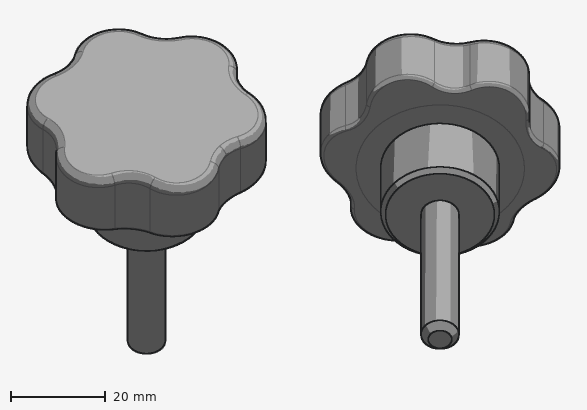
import cadquery as cq
import math

total_height = 72.95
stud_diameter = 8.0
stud_chamfer = 1.5

hub_diameter = 25.0
hub_bottom = 40.0
hub_chamfer = 1.0

lobe_count = 6
lobe_radius = 9.3
valley_radius = 8.0
grip_radius = 25.35
grip_bottom = 54.95
grip_flat_diameter = 35.5
underside_angle = 15.0
dome_radius = 199.9
top_fillet = 2.0
bottom_fillet = 0.95

envelope_radius = grip_radius + 3.65

half_pitch = 180.0 / lobe_count
lobe_centre_radius = grip_radius - lobe_radius
half_spacing = lobe_centre_radius * math.sin(math.radians(half_pitch))
valley_centre_radius = (
    lobe_centre_radius * math.cos(math.radians(half_pitch))
    + math.sqrt((lobe_radius + valley_radius) ** 2 - half_spacing**2)
)
valley_floor_radius = valley_centre_radius - valley_radius


def polar(radius, angle):
    a = math.radians(angle)
    return radius * math.cos(a), radius * math.sin(a)


def tangent_point(lobe_angle, valley_angle):
    """Point where a lobe arc meets a neighbouring valley arc."""
    lobe_x, lobe_y = polar(lobe_centre_radius, lobe_angle)
    valley_x, valley_y = polar(valley_centre_radius, valley_angle)
    share = lobe_radius / (lobe_radius + valley_radius)
    return lobe_x + share * (valley_x - lobe_x), lobe_y + share * (valley_y - lobe_y)


def lobed_prism():
    """Six-lobed outline, with a lobe pointing along +Y, over the full height."""
    first_angle = 90.0
    outline = cq.Workplane("XY").moveTo(*tangent_point(first_angle, first_angle - half_pitch))
    for i in range(lobe_count):
        lobe_angle = first_angle + 2 * half_pitch * i
        valley_angle = lobe_angle + half_pitch
        next_lobe_angle = valley_angle + half_pitch
        outline = outline.threePointArc(
            polar(grip_radius, lobe_angle), tangent_point(lobe_angle, valley_angle)
        )
        outline = outline.threePointArc(
            polar(valley_floor_radius, valley_angle), tangent_point(next_lobe_angle, valley_angle)
        )
    return outline.close().extrude(total_height)


def grip_envelope():
    """Revolved solid with a conical underside and a domed top."""
    flat_radius = grip_flat_diameter / 2
    cone_rise = (envelope_radius - flat_radius) * math.tan(math.radians(underside_angle))

    def dome_height(radius):
        return total_height - dome_radius + math.sqrt(dome_radius**2 - radius**2)

    middle_radius = envelope_radius / 2
    return (
        cq.Workplane("XZ")
        .moveTo(0, grip_bottom)
        .lineTo(flat_radius, grip_bottom)
        .lineTo(envelope_radius, grip_bottom + cone_rise)
        .lineTo(envelope_radius, dome_height(envelope_radius))
        .threePointArc((middle_radius, dome_height(middle_radius)), (0, total_height))
        .close()
        .revolve(360, (0, 0, 0), (0, 1, 0))
    )


def make_grip():
    grip = lobed_prism().intersect(grip_envelope())
    grip = grip.faces(">Z").edges().fillet(top_fillet)
    rim = grip.faces("%CONE").edges("not %CIRCLE")
    return grip.newObject(rim.vals()).fillet(bottom_fillet)


def make_hub():
    hub = cq.Workplane("XY").workplane(offset=hub_bottom)
    hub = hub.circle(hub_diameter / 2).extrude(grip_bottom - hub_bottom)
    return hub.faces("<Z").chamfer(hub_chamfer)


def make_stud():
    stud = cq.Workplane("XY").circle(stud_diameter / 2).extrude(hub_bottom)
    return stud.faces("<Z").chamfer(stud_chamfer)


result = make_grip().union(make_hub()).union(make_stud())